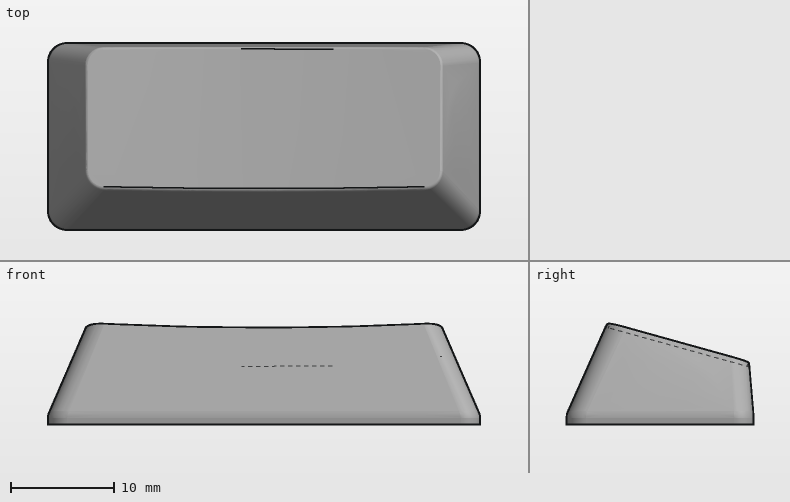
import cadquery as cq
import math

BASE_LENGTH = 41.95
BASE_DEPTH = 18.17
BASE_CORNER_RADIUS = 1.9
SKIRT_HEIGHT = 0.65

BEND_HEIGHT = 0.67

RIM_LENGTH = 34.55
RIM_CORNER_RADIUS = 1.85
RIM_FRONT_Y = -5.08
RIM_FRONT_Z = 9.95
RIM_BACK_Y = 8.65
RIM_BACK_Z = 6.13

DISH_SAG = 0.5
TOP_EDGE_RADIUS = 0.3

RIM_RISE = RIM_BACK_Z - RIM_FRONT_Z
RIM_RUN = RIM_BACK_Y - RIM_FRONT_Y
RIM_DEPTH = math.hypot(RIM_RUN, RIM_RISE)
RIM_PLANE = cq.Plane(
    origin=(0, (RIM_FRONT_Y + RIM_BACK_Y) / 2, (RIM_FRONT_Z + RIM_BACK_Z) / 2),
    xDir=(1, 0, 0),
    normal=(0, -RIM_RISE, RIM_RUN),
)
DISH_RADIUS = (RIM_LENGTH / 2) ** 2 / (2 * DISH_SAG) + DISH_SAG / 2

BEND_MIDDLE_Z = SKIRT_HEIGHT + BEND_HEIGHT / 2
SIDE_INSET = (BASE_LENGTH - RIM_LENGTH) / 2 / (RIM_PLANE.origin.z - BEND_MIDDLE_Z) * BEND_HEIGHT / 2
FRONT_INSET = (BASE_DEPTH / 2 + RIM_FRONT_Y) / (RIM_FRONT_Z - BEND_MIDDLE_Z) * BEND_HEIGHT / 2
BACK_INSET = (BASE_DEPTH / 2 - RIM_BACK_Y) / (RIM_BACK_Z - BEND_MIDDLE_Z) * BEND_HEIGHT / 2


def rounded_rectangle(length, depth, corner_radius):
    return cq.Sketch().rect(length, depth).vertices().fillet(corner_radius)


def band_section(height_share):
    """Outline of the band at a share of its height; the wall curves inwards as a parabola."""
    inset_share = height_share**2
    side = SIDE_INSET * inset_share
    front = FRONT_INSET * inset_share
    back = BACK_INSET * inset_share
    outline = rounded_rectangle(
        BASE_LENGTH - 2 * side, BASE_DEPTH - front - back, BASE_CORNER_RADIUS
    )
    center = cq.Vector(0, (front - back) / 2, SKIRT_HEIGHT + BEND_HEIGHT * height_share)
    return outline.moved(cq.Location(center))


def skirt():
    outline = rounded_rectangle(BASE_LENGTH, BASE_DEPTH, BASE_CORNER_RADIUS)
    return cq.Workplane().placeSketch(outline).extrude(SKIRT_HEIGHT)


def curved_band():
    sections = [band_section(share) for share in (0, 0.5, 1)]
    return cq.Workplane().placeSketch(*sections).loft()


def sloping_walls():
    rim = rounded_rectangle(RIM_LENGTH, RIM_DEPTH, RIM_CORNER_RADIUS).moved(RIM_PLANE.location)
    return cq.Workplane().placeSketch(band_section(1), rim).loft(ruled=True)


def dish():
    """Cylinder whose lowest line lies DISH_SAG below the middle of the rim plane."""
    across_slope = cq.Plane(origin=RIM_PLANE.origin, xDir=(1, 0, 0), normal=RIM_PLANE.yDir)
    return (
        cq.Workplane(across_slope)
        .center(0, DISH_SAG - DISH_RADIUS)
        .circle(DISH_RADIUS)
        .extrude(RIM_DEPTH, both=True)
    )


body = skirt().union(curved_band()).union(sloping_walls()).cut(dish())

result = body.faces(">>Z").edges().fillet(TOP_EDGE_RADIUS)